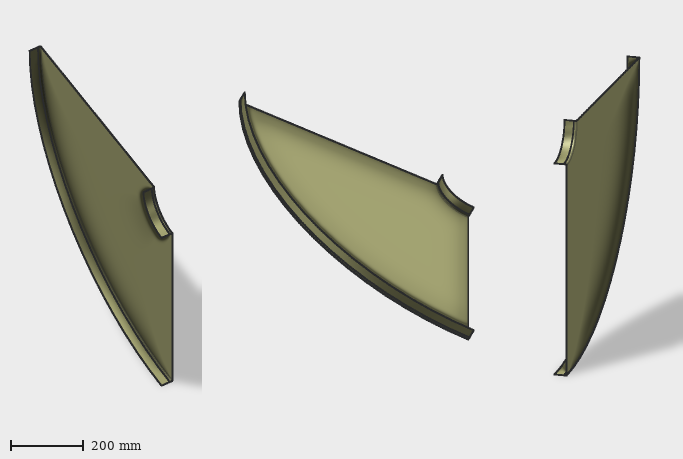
import cadquery as cq
import math

outer_radius = 704.5
inner_radius = 96.0
total_depth = 35.0
lip_depth = 8.5
sheet = 1.0
bend_inner_radius = 1.1
bend_outer_radius = bend_inner_radius + sheet
sweep_angle = 90.0

bend_mid_inner = bend_inner_radius * math.sqrt(0.5)
bend_mid_outer = bend_outer_radius * math.sqrt(0.5)


def sweep_quarter(profile):
    """Revolve a profile at negative X about the Y axis, from -X round to -Z."""
    return profile.close().revolve(sweep_angle, (0, 0, 0), (0, -1, 0))


def make_pan():
    """Flat floor whose two curved edges are bent forward into lips."""
    outer_bend_x = -outer_radius + bend_outer_radius
    inner_bend_x = -inner_radius - bend_outer_radius
    bend_y = -bend_outer_radius
    profile = (
        cq.Workplane("XY")
        .moveTo(-outer_radius, -lip_depth)
        .lineTo(-outer_radius, bend_y)
        .threePointArc((outer_bend_x - bend_mid_outer, bend_y + bend_mid_outer), (outer_bend_x, 0))
        .lineTo(inner_bend_x, 0)
        .threePointArc((inner_bend_x + bend_mid_outer, bend_y + bend_mid_outer), (-inner_radius, bend_y))
        .lineTo(-inner_radius, -lip_depth)
        .lineTo(-inner_radius - sheet, -lip_depth)
        .lineTo(-inner_radius - sheet, bend_y)
        .threePointArc((inner_bend_x + bend_mid_inner, bend_y + bend_mid_inner), (inner_bend_x, -sheet))
        .lineTo(outer_bend_x, -sheet)
        .threePointArc((outer_bend_x - bend_mid_inner, bend_y + bend_mid_inner),
                       (-outer_radius + sheet, bend_y))
        .lineTo(-outer_radius + sheet, -lip_depth)
    )
    return sweep_quarter(profile)


def make_side_wall(larger_radius):
    """Curved strip that continues a lip forward to the open front of the bend."""
    profile = (
        cq.Workplane("XY")
        .moveTo(-larger_radius, -lip_depth)
        .lineTo(-larger_radius + sheet, -lip_depth)
        .lineTo(-larger_radius + sheet, -total_depth)
        .lineTo(-larger_radius, -total_depth)
    )
    return sweep_quarter(profile)


pan = make_pan()
side_walls = [make_side_wall(radius) for radius in (outer_radius, inner_radius + sheet)]

result = cq.Compound.makeCompound([pan.val(), *[wall.val() for wall in side_walls]])